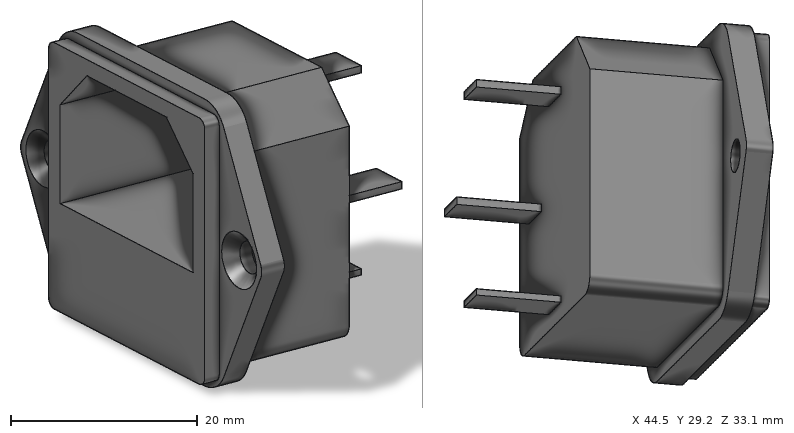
import cadquery as cq
import math

flange_width = 44.55
flange_height = 33.1
flange_thickness = 3.0
flank_angle = math.radians(63.4)
tip_radius = 1.65
corner_radius = 3.95

hole_offset = 18.1
hole_diameter = 3.6
countersink_diameter = 6.4
countersink_angle = 90

plate_width = 28.85
plate_height = 30.75
plate_thickness = 1.9
plate_corner_radius = 1.05

body_width = 26.77
body_height = 29.95
body_depth = 14.9
body_chamfer = 5.12
body_bottom_radius = 1.85

socket_width = 24.55
socket_top = 13.5
socket_bottom = -2.85
socket_chamfer = 4.95
socket_depth = 17.8

blade_width = 4.72
blade_length = 9.45
blades = [
    (0, 10.65, 0.85),
    (7.5, -0.3, 0.85),
    (0, -12.75, 0.7),
]

flange_back = flange_thickness
body_back = flange_back + body_depth


def front_plane(y):
    """XZ workplane at the given Y whose extrusions run toward +Y."""
    return cq.Workplane(cq.Plane(origin=(0, y, 0), xDir=(1, 0, 0), normal=(0, -1, 0)))


def block(width, bottom, top, start, depth):
    """Box centred on X, running back from Y = start."""
    return front_plane(start).center(0, (bottom + top) / 2).rect(width, top - bottom).extrude(-depth)


def make_flange():
    half_height = flange_height / 2
    tip_x = flange_width / 2 + tip_radius * (1 / math.sin(flank_angle) - 1)
    corner_x = tip_x - half_height / math.tan(flank_angle)
    outline = [
        (tip_x, 0),
        (corner_x, half_height),
        (-corner_x, half_height),
        (-tip_x, 0),
        (-corner_x, -half_height),
        (corner_x, -half_height),
    ]
    flange = front_plane(0).polyline(outline).close().extrude(-flange_thickness)
    flange = flange.edges("|Y").edges("<X or >X").fillet(tip_radius)
    return flange.edges("|Y").edges("<Z or >Z").fillet(corner_radius)


def drill_screw_holes(flange):
    return (
        flange.faces("<Y")
        .workplane(origin=(0, 0, 0))
        .pushPoints([(-hole_offset, 0), (hole_offset, 0)])
        .cskHole(hole_diameter, countersink_diameter, countersink_angle)
    )


def make_plate():
    half_height = plate_height / 2
    plate = block(plate_width, -half_height, half_height, -plate_thickness, plate_thickness)
    return plate.edges("|Y").fillet(plate_corner_radius)


def make_body():
    half_height = body_height / 2
    body = block(body_width, -half_height, half_height, flange_back, body_depth)
    body = body.edges("|Y and >Z").chamfer(body_chamfer)
    return body.edges("|Y and <Z").fillet(body_bottom_radius)


def make_socket():
    socket = block(socket_width, socket_bottom, socket_top, -plate_thickness, socket_depth)
    return socket.edges("|Y and >Z").chamfer(socket_chamfer)


def make_blade(x, z, thickness):
    return front_plane(body_back).center(x, z).rect(blade_width, thickness).extrude(-blade_length)


flange = drill_screw_holes(make_flange())
result = flange.union(make_plate()).union(make_body()).cut(make_socket())
for blade in blades:
    result = result.union(make_blade(*blade))